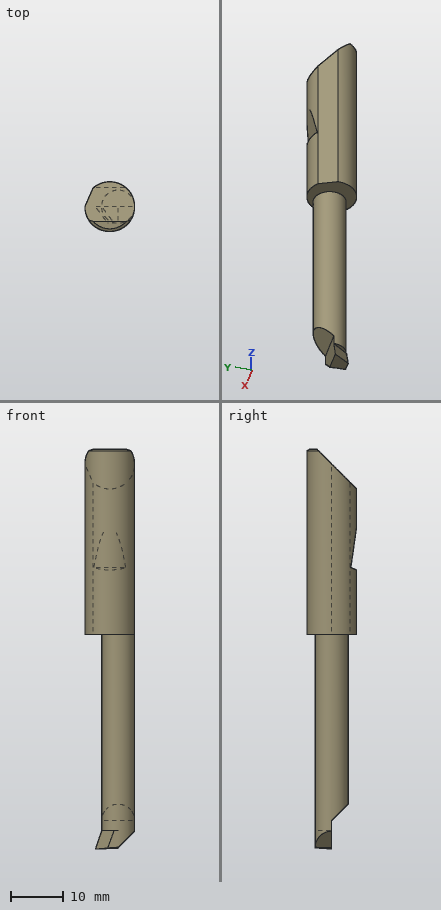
import cadquery as cq
import math

total_length = 76.2
shank_diameter = 9.5
shank_radius = shank_diameter / 2
neck_diameter = 6.3
neck_radius = neck_diameter / 2
neck_x = shank_radius - neck_radius
shoulder_z = 40.8

end_chamfer_radial = 0.5
end_chamfer_height = 0.3
end_slope_start_y = -2.8
flat_edge_y = 3.5
notch_top_z = 61.4
notch_root_z = 53.6
notch_bottom_z = 53.2
notch_root_y = 3.65

head_height = 3.6
rake_run_out_z = 5.4
tip_x = -2.75
tip_lean = 1.2
flank_relief = 2.35
bottom_relief = 0.2
bottom_rise = 0.15
nose_chamfer_z = 3.4

margin = 0.75
cut_width = 2 * (shank_diameter + margin)


def cut_along_x(points):
    """Prism through the whole bar from a (y, z) outline."""
    return cq.Workplane("YZ").polyline(points).close().extrude(cut_width / 2, both=True)


def make_shank():
    shank = (
        cq.Workplane("XY", origin=(0, 0, shoulder_z))
        .circle(shank_radius)
        .extrude(total_length - shoulder_z)
        .faces(">Z")
        .chamfer(end_chamfer_height, end_chamfer_radial)
    )
    slope_y = shank_radius + margin
    end_slope = cut_along_x([
        (end_slope_start_y - margin, total_length + margin),
        (slope_y, total_length + margin),
        (slope_y, total_length - (slope_y - end_slope_start_y)),
    ])
    notch = cut_along_x([
        (shank_radius, notch_top_z),
        (notch_root_y, notch_root_z),
        (shank_radius, notch_bottom_z),
        (shank_radius + margin, notch_bottom_z),
        (shank_radius + margin, notch_top_z),
    ])
    flat_edge_x = -math.sqrt(shank_radius**2 - flat_edge_y**2)
    side_flat = (
        cq.Workplane("XY", origin=(0, 0, shoulder_z))
        .polyline([(-shank_radius, 0), (flat_edge_x, flat_edge_y), (-shank_radius, flat_edge_y)])
        .close()
        .extrude(total_length - shoulder_z)
    )
    return shank.cut(end_slope).cut(notch).cut(side_flat)


def make_neck():
    neck = cq.Workplane("XY").center(neck_x, 0).circle(neck_radius).extrude(shoulder_z)
    rake_y = neck_radius + margin
    rake_relief = cut_along_x([
        (0, -margin),
        (0, rake_run_out_z),
        (rake_y, rake_run_out_z + rake_y),
        (rake_y, -margin),
    ])
    head_space = (
        cq.Workplane("XY")
        .rect(cut_width, cut_width)
        .extrude(head_height)
        .translate((neck_x - cut_width / 2, 0, 0))
    )
    nose_x = shank_radius + margin
    nose_chamfer = (
        cq.Workplane("XZ")
        .polyline([
            (nose_x, nose_chamfer_z + margin),
            (shank_radius - nose_chamfer_z - margin, -margin),
            (nose_x, -margin),
        ])
        .close()
        .extrude(cut_width / 2, both=True)
    )
    return neck.cut(rake_relief).cut(head_space).cut(nose_chamfer)


def make_head():
    """Relieved cutting head, tapering from the rake face at y = 0 towards -Y."""
    def outline(flank_shift, bottom_shift):
        return [
            (tip_x + flank_shift, bottom_shift),
            (tip_x + tip_lean + flank_shift, head_height),
            (neck_x, head_height),
            (neck_x, bottom_rise + bottom_shift),
        ]

    return (
        cq.Workplane("XZ")
        .polyline(outline(0, 0))
        .close()
        .workplane(offset=neck_radius)
        .polyline(outline(flank_relief, bottom_relief))
        .close()
        .loft(ruled=True)
    )


result = make_shank().union(make_neck()).union(make_head())